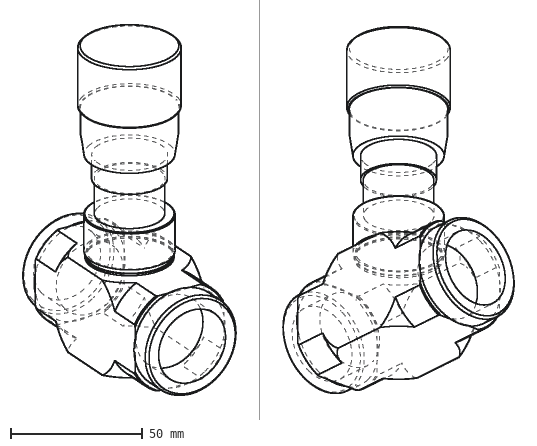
import cadquery as cq

HOUSING_LENGTH = 89.0
BLOCK_WIDTH = 40.0
FLANGE_DIAMETER = 41.0
FLANGE_WIDTH = 9.1
FLANGE_CHAMFER = 1.0
NECK_DIAMETER = 45.1
NECK_CHAMFER = 0.4
SPHERE_DIAMETER = 61.6
BORE_DIAMETER = 30.3
BORE_DEPTH = 16.0

TOTAL_HEIGHT = 129.5
STEM_TOP = TOTAL_HEIGHT - FLANGE_DIAMETER / 2
STEM_BOTTOM = BLOCK_WIDTH / 2
FOOT_DIAMETER = 34.0
FOOT_HEIGHT = 0.8
GROOVE_DIAMETER = 33.0
COLLAR_DIAMETER = 34.8
COLLAR_BOTTOM = 22.7
COLLAR_TOP = 38.2
COLLAR_CHAMFER = 0.4
SPINDLE_DIAMETER = 27.0
SPINDLE_TOP = 53.1
SLEEVE_DIAMETER = 29.0
SLEEVE_TOP = 63.3
SKIRT_BOTTOM_DIAMETER = 34.8
SKIRT_DIAMETER = 37.5
TAPER_TOP = 72.4
CAP_DIAMETER = 39.5
CAP_BOTTOM = 83.1
CAP_TOP_CHAMFER = 0.9
CAP_BOTTOM_CHAMFER = 0.6


def x_cylinder(diameter, start, length):
    """Cylinder around the X axis, running in +X from start."""
    return cq.Workplane("YZ").workplane(offset=start).circle(diameter / 2).extrude(length)


def make_block():
    """Square block whose corners are turned to a sphere in the middle and to necks at the ends."""
    length = HOUSING_LENGTH - 2 * FLANGE_WIDTH
    block = cq.Workplane("XY").box(length, BLOCK_WIDTH, BLOCK_WIDTH)
    necks = x_cylinder(NECK_DIAMETER, -length / 2, length).edges().chamfer(NECK_CHAMFER)
    middle = cq.Workplane("XY").sphere(SPHERE_DIAMETER / 2)
    return block.intersect(necks.union(middle))


def make_housing():
    half_length = HOUSING_LENGTH / 2

    left_flange = x_cylinder(FLANGE_DIAMETER, -half_length, FLANGE_WIDTH)
    left_flange = left_flange.faces("<X").chamfer(FLANGE_CHAMFER)
    housing = make_block().union(left_flange).union(left_flange.mirror("YZ"))

    left_bore = x_cylinder(BORE_DIAMETER, -half_length, BORE_DEPTH)
    return housing.cut(left_bore).cut(left_bore.mirror("YZ"))


def make_stem():
    """Half section of the stem in the XZ plane, turned around Z."""
    foot_top = STEM_BOTTOM + FOOT_HEIGHT
    cap_radius = CAP_DIAMETER / 2
    collar_radius = COLLAR_DIAMETER / 2
    return (
        cq.Workplane("XZ")
        .moveTo(0, STEM_BOTTOM)
        .lineTo(FOOT_DIAMETER / 2, STEM_BOTTOM)
        .lineTo(FOOT_DIAMETER / 2, foot_top)
        .lineTo(GROOVE_DIAMETER / 2, foot_top)
        .lineTo(GROOVE_DIAMETER / 2, COLLAR_BOTTOM)
        .lineTo(collar_radius, COLLAR_BOTTOM)
        .lineTo(collar_radius, COLLAR_TOP - COLLAR_CHAMFER)
        .lineTo(collar_radius - COLLAR_CHAMFER, COLLAR_TOP)
        .lineTo(SPINDLE_DIAMETER / 2, COLLAR_TOP)
        .lineTo(SPINDLE_DIAMETER / 2, SPINDLE_TOP)
        .lineTo(SLEEVE_DIAMETER / 2, SPINDLE_TOP)
        .lineTo(SLEEVE_DIAMETER / 2, SLEEVE_TOP)
        .lineTo(SKIRT_BOTTOM_DIAMETER / 2, SLEEVE_TOP)
        .lineTo(SKIRT_DIAMETER / 2, TAPER_TOP)
        .lineTo(SKIRT_DIAMETER / 2, CAP_BOTTOM)
        .lineTo(cap_radius - CAP_BOTTOM_CHAMFER, CAP_BOTTOM)
        .lineTo(cap_radius, CAP_BOTTOM + CAP_BOTTOM_CHAMFER)
        .lineTo(cap_radius, STEM_TOP - CAP_TOP_CHAMFER)
        .lineTo(cap_radius - CAP_TOP_CHAMFER, STEM_TOP)
        .lineTo(0, STEM_TOP)
        .close()
        .revolve(360, (0, 0, 0), (0, 1, 0))
    )


housing = make_housing()
stem = make_stem()

result = cq.Compound.makeCompound([housing.val(), stem.val()])